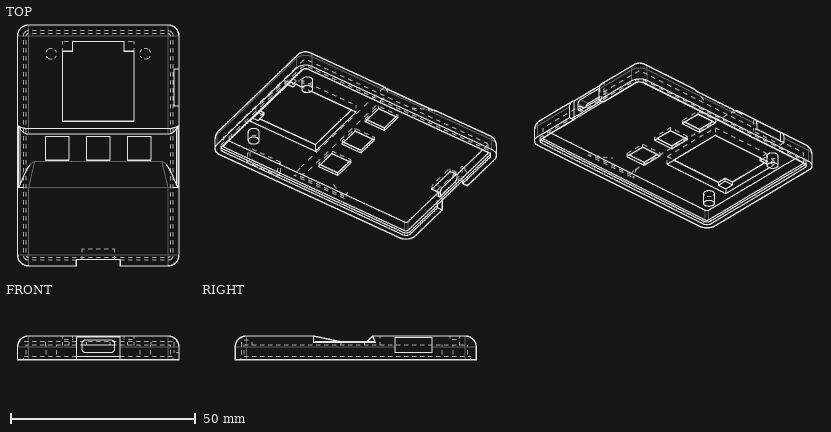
import cadquery as cq

width = 43.7
length = 65.25
height = 6.5
edge_radius = 3.0
half_width = width / 2
half_length = length / 2
overlap = 0.65

cavity_inset = 2.35
ceiling = 4.05
rebate_inset = 1.55
rebate_height = 0.9

recess_depth = 1.5
recess_floor = height - recess_depth
lip_top_y = 4.6
ramp_top_y = -11.4
ramp_bottom_y = -4.4
ramp_side_inset = 1.6
bevel_width = 0.65
bevel_drop = 0.45

button_count = 3
button_size = 6.3
button_pitch = 11.1
button_y = -0.8

display_width = 19.3
display_neck_width = 13.9
display_bottom_y = 6.6
display_shoulder_y = 25.45
display_top_y = 28.1
display_skin = 1.0

notch_width = 11.9
notch_depth = 1.7
slot_width = 8.8
slot_bottom = 2.0
slot_height = 3.4
slot_radius = 1.0
slot_end_y = -28.05

side_notch_depth = 1.4
side_notch_start_y = 10.65
side_notch_end_y = 20.6
side_notch_floor = slot_bottom

pin_diameter = 2.95
pin_x = 12.7
pin_y = 24.8


def box(x_min, x_max, y_min, y_max, z_min, z_max):
    """Axis-aligned block between the given limits."""
    block = cq.Workplane("XY").box(x_max - x_min, y_max - y_min, z_max - z_min, centered=False)
    return block.translate((x_min, y_min, z_min))


def centred_box(size_x, y_min, y_max, z_min, z_max):
    """Block that is symmetric about the YZ plane."""
    return box(-size_x / 2, size_x / 2, y_min, y_max, z_min, z_max)


def outer_body():
    """Slab with rounded corners and rounded top edges."""
    slab = centred_box(width, -half_length, half_length, 0, height)
    return slab.edges("|Z or >Z").fillet(edge_radius)


def inset_block(inset, top):
    """Block that stays a constant distance inside the outer walls."""
    block = centred_box(width - 2 * inset, inset - half_length, half_length - inset, 0, top)
    return block.edges("|Z").fillet(edge_radius - inset)


def round_topped(sketch, half, bottom, top):
    """Add a closed section with a flat bottom and two rounded top corners."""
    corner = edge_radius * 0.5**0.5
    shoulder = half - edge_radius
    spring = top - edge_radius
    return (
        sketch.moveTo(-half, bottom)
        .lineTo(half, bottom)
        .lineTo(half, spring)
        .threePointArc((shoulder + corner, spring + corner), (shoulder, top))
        .lineTo(-shoulder, top)
        .threePointArc((-shoulder - corner, spring + corner), (-half, spring))
        .close()
    )


def lip():
    """Round-topped bar falling at 45 degrees toward -Y, which bounds the recess on +Y."""
    reach = 4 * height
    plane = cq.Plane(origin=(0, lip_top_y, height), xDir=(1, 0, 0), normal=(0, -1, -1))
    return round_topped(cq.Workplane(plane), half_width, -reach, 0).extrude(reach, both=True)


def ramp():
    """Round-topped ramp that narrows as it falls to the recess floor."""
    sketch = cq.Workplane("XZ", origin=(0, ramp_top_y, 0))
    sketch = round_topped(sketch, half_width, 0, height)
    sketch = sketch.workplane(offset=ramp_top_y - ramp_bottom_y)
    sketch = round_topped(sketch, half_width - ramp_side_inset, 0, recess_floor)
    return sketch.loft(ruled=True, combine=True)


def recess():
    """Cutter for the recess, with a bevelled floor edge along both sides."""
    bevel_x = half_width - bevel_width
    outer_x = half_width + overlap
    outer_z = recess_floor - bevel_drop * (bevel_width + overlap) / bevel_width
    run = lip_top_y + height - ramp_top_y
    cutter = (
        cq.Workplane("XZ", origin=(0, ramp_top_y, 0))
        .polyline([
            (-outer_x, outer_z),
            (-bevel_x, recess_floor),
            (bevel_x, recess_floor),
            (outer_x, outer_z),
            (outer_x, height + overlap),
            (-outer_x, height + overlap),
        ])
        .close()
        .extrude(-run)
    )
    return cutter.cut(lip()).cut(ramp())


def button_windows():
    """Row of square windows through the recess floor."""
    return (
        cq.Workplane("XY")
        .center(0, button_y)
        .rarray(button_pitch, 0.65, button_count, 1)
        .rect(button_size, button_size)
        .extrude(height)
    )


def display_opening():
    """Stepped window in the skin above a plain rectangular pocket."""
    pocket_top = height - display_skin
    top = height + overlap
    pocket = centred_box(display_width, display_bottom_y, display_top_y, 0, pocket_top)
    window = centred_box(display_width, display_bottom_y, display_shoulder_y, 0, top)
    neck = centred_box(display_neck_width, display_shoulder_y, display_top_y, 0, top)
    return pocket.union(window).union(neck)


def connector_opening():
    """Open notch in the -Y wall with a rounded slot leading inward from it."""
    notch_end_y = notch_depth - half_length
    notch = centred_box(notch_width, -half_length - overlap, notch_end_y, 0, height)
    slot_top = slot_bottom + slot_height
    slot = centred_box(slot_width, -half_length - overlap, slot_end_y, slot_bottom, slot_top)
    return notch.union(slot.edges("|Y").fillet(slot_radius))


def side_notch():
    """Shelf cut into the +X wall beside the display."""
    return box(
        half_width - side_notch_depth,
        half_width + overlap,
        side_notch_start_y,
        side_notch_end_y,
        side_notch_floor,
        height,
    )


def pins():
    """Pins from the ceiling down to the rebate, one on each side of the display."""
    return (
        cq.Workplane("XY", origin=(0, 0, rebate_height))
        .pushPoints([(-pin_x, pin_y), (pin_x, pin_y)])
        .circle(pin_diameter / 2)
        .extrude(ceiling + overlap - rebate_height)
    )


result = (
    outer_body()
    .cut(recess())
    .cut(inset_block(cavity_inset, ceiling))
    .cut(inset_block(rebate_inset, rebate_height))
    .cut(button_windows())
    .cut(display_opening())
    .cut(connector_opening())
    .cut(side_notch())
    .union(pins())
)